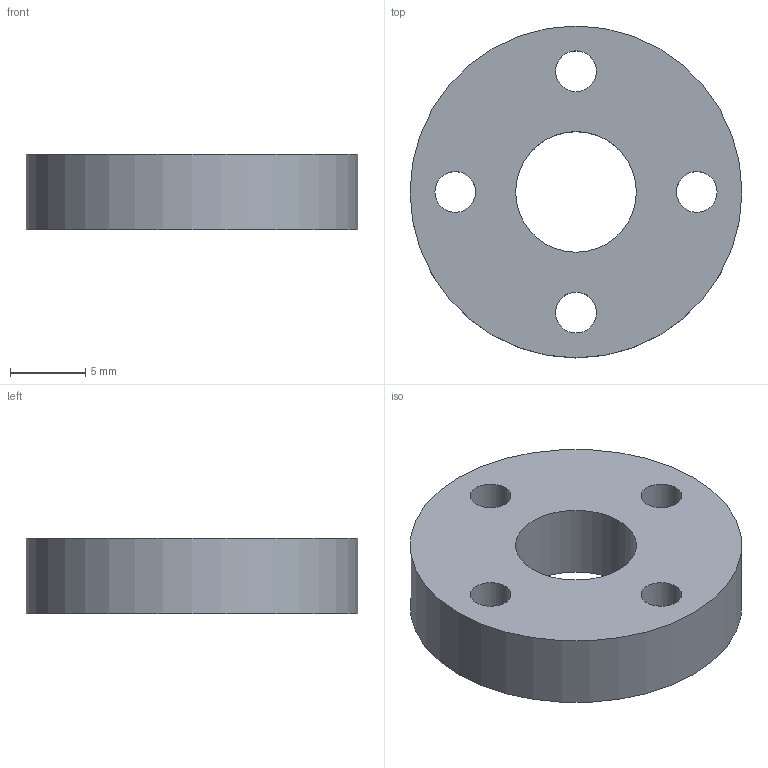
import cadquery as cq

outer_diameter = 22.0
thickness = 5.0
bore_diameter = 8.0

hole_count = 4
hole_diameter = 2.7
hole_circle_diameter = 16.0


def make_ring():
    """Flat ring standing on the XY plane, with its bore along Z."""
    return (
        cq.Workplane("XY")
        .circle(outer_diameter / 2)
        .circle(bore_diameter / 2)
        .extrude(thickness)
    )


def cut_mounting_holes(ring):
    """Cut the mounting holes through the full thickness, the first one on +X."""
    return (
        ring.faces(">Z")
        .workplane(origin=(0, 0, thickness))
        .polarArray(hole_circle_diameter / 2, 0, 360, hole_count)
        .hole(hole_diameter)
    )


result = cut_mounting_holes(make_ring())